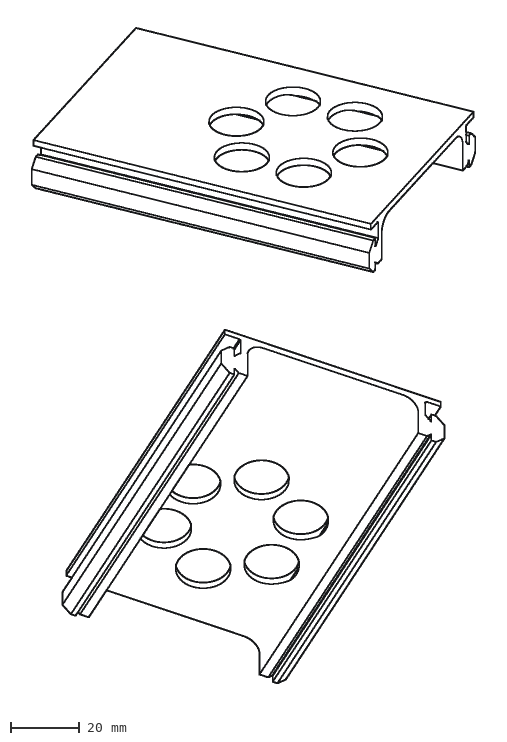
import cadquery as cq

length = 109.0
width = 71.9
height = 17.3

plate_width = 69.5
plate_edge_thickness = 2.0
plate_middle_thickness = 2.4

leg_outer = 29.8
leg_inner = 27.5
leg_corner_chamfer = 0.3
leg_depth = 16.1
inner_fillet_radius = 5.0
selection_margin = 0.1

rail_outer = width / 2
rail_inner = 31.7
rail_top_depth = 6.5
rail_chamfer = 2.7
upper_groove_depth = 9.4
upper_groove_slope = 1.7
groove_floor_width = 0.2
lower_groove_depth = 14.9
lower_groove_slope = leg_depth - lower_groove_depth

hole_diameter = 16.0
hole_depth = 2.9
hole_count = 6
hole_circle_diameter = 40.0
hole_circle_to_end = 40.0


def make_profile():
    """Cross-section in the YZ plane, symmetric about Y = 0."""
    groove_floor = rail_inner - groove_floor_width
    half_outline = [
        (plate_width / 2, 0),
        (plate_width / 2, -plate_edge_thickness),
        (leg_outer + leg_corner_chamfer, -plate_edge_thickness),
        (leg_outer, -plate_edge_thickness - leg_corner_chamfer),
        (leg_outer, -upper_groove_depth + upper_groove_slope),
        (groove_floor, -upper_groove_depth),
        (rail_inner, -upper_groove_depth),
        (rail_inner, -rail_top_depth),
        (rail_outer - rail_chamfer, -rail_top_depth),
        (rail_outer, -rail_top_depth - rail_chamfer),
        (rail_outer, -height + rail_chamfer),
        (rail_outer - rail_chamfer, -height),
        (rail_inner, -height),
        (rail_inner, -lower_groove_depth),
        (groove_floor, -lower_groove_depth),
        (groove_floor - lower_groove_slope, -leg_depth),
        (leg_inner, -leg_depth),
        (leg_inner, -plate_middle_thickness),
    ]
    mirrored = [(-y, z) for y, z in reversed(half_outline)]
    return cq.Workplane("YZ").polyline(half_outline + mirrored).close()


def make_rail_body():
    """Extrude the profile and round the corners between plate and legs."""
    body = make_profile().extrude(length / 2, both=True)
    inner_corners = cq.selectors.BoxSelector(
        (-length, -leg_inner - selection_margin, -plate_middle_thickness - selection_margin),
        (length, leg_inner + selection_margin, -plate_middle_thickness + selection_margin),
    )
    return body.edges("|X").edges(inner_corners).fillet(inner_fillet_radius)


def make_holes():
    """Cylinders on a circle; they stop inside the fillets."""
    return (
        cq.Workplane("XY")
        .center(length / 2 - hole_circle_to_end, 0)
        .polarArray(hole_circle_diameter / 2, 0, 360, hole_count)
        .circle(hole_diameter / 2)
        .extrude(-hole_depth)
    )


result = make_rail_body().cut(make_holes())